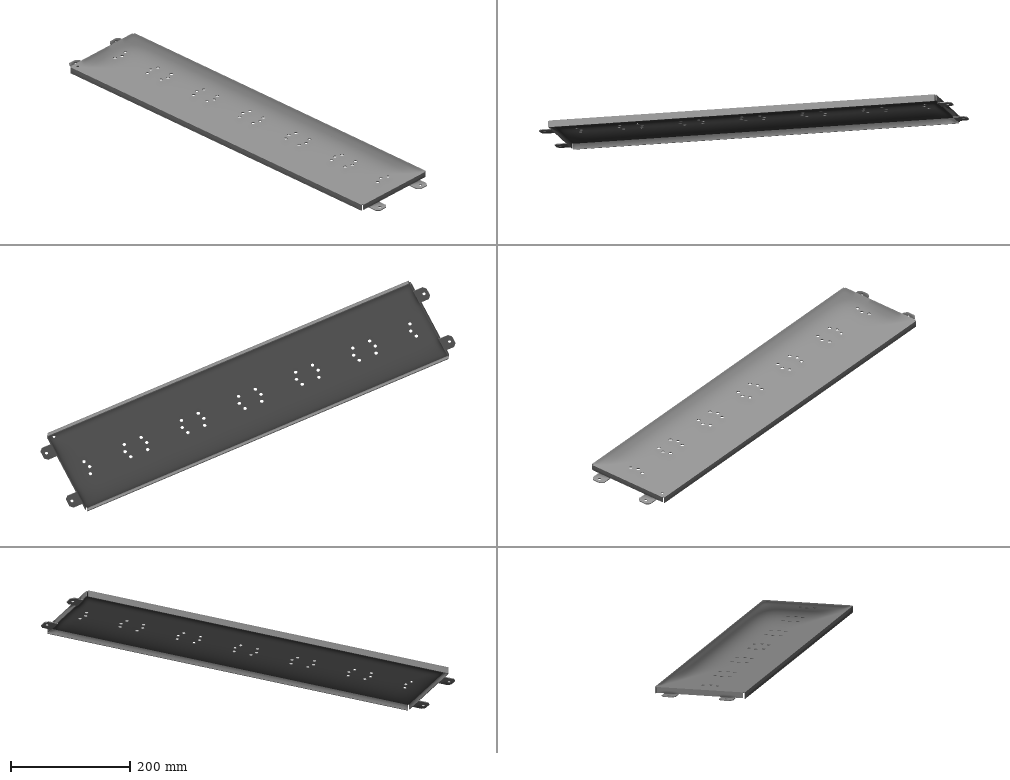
import cadquery as cq
import math

overall_length = 716.0
tray_width = 157.0
tray_height = 11.5
sheet = 1.5

tray_length = 674.5
notch_x = 2.3
notch_y = 3.2
end_wall_lift = sheet

tab_width = 24.0
tab_spacing = 99.5
tab_chamfer = 5.0
tab_hole_diameter = 5.3
tab_hole_inset = 8.0
tab_root_x = tray_length / 2 - sheet

circle_pitch = 106.0
circle_y = 8.5
circle_radius = 20.0
hole_angle = 39
hole_diameter = 6.0
full_circles = 5

corner_hole_diameter = 4.6
corner_hole_inset_x = 9.0
corner_hole_inset_y = 11.0


def make_tray():
    """Open-bottomed folded tray with notched corners and shortened end walls."""
    outer = cq.Workplane("XY").box(
        tray_length, tray_width, tray_height, centered=(True, True, False)
    )
    cavity = cq.Workplane("XY").box(
        tray_length - 2 * sheet,
        tray_width - 2 * sheet,
        tray_height - sheet,
        centered=(True, True, False),
    )
    end_relief = cq.Workplane("XY").box(
        tray_length, tray_width - 2 * sheet, end_wall_lift, centered=(True, True, False)
    )
    corner_notches = (
        cq.Workplane("XY")
        .rect(tray_length, tray_width, forConstruction=True)
        .vertices()
        .rect(2 * notch_x, 2 * notch_y)
        .extrude(tray_height)
    )
    return outer.cut(cavity).cut(end_relief).cut(corner_notches)


def make_tab(side, y):
    """Flat foot at one end, chamfered at its outer corners and drilled once."""
    length = overall_length / 2 - tab_root_x
    tab = (
        cq.Workplane("XY")
        .center(side * (tab_root_x + length / 2), y)
        .box(length, tab_width, sheet, centered=(True, True, False))
        .edges("|Z")
        .edges(">X" if side > 0 else "<X")
        .chamfer(tab_chamfer)
    )
    hole = (
        cq.Workplane("XY")
        .center(side * (overall_length / 2 - tab_hole_inset), y)
        .circle(tab_hole_diameter / 2)
        .extrude(sheet)
    )
    return tab.cut(hole)


def arc_points(center_x, side):
    """Three holes on the left (-1) or right (+1) of a bolt circle."""
    angles = [math.radians(a) for a in (-hole_angle, 0, hole_angle)]
    return [
        (center_x + side * circle_radius * math.cos(a), circle_y + circle_radius * math.sin(a))
        for a in angles
    ]


hole_points = []
first_center = -circle_pitch * (full_circles + 1) / 2
for gap in range(full_circles + 1):
    left_center = first_center + gap * circle_pitch
    hole_points += arc_points(left_center, 1)
    hole_points += arc_points(left_center + circle_pitch, -1)

result = make_tray()
for side in (-1, 1):
    for y in (-tab_spacing / 2, tab_spacing / 2):
        result = result.union(make_tab(side, y))

plate_holes = (
    cq.Workplane("XY").pushPoints(hole_points).circle(hole_diameter / 2).extrude(tray_height)
)
corner_hole = (
    cq.Workplane("XY")
    .center(corner_hole_inset_x - tray_length / 2, corner_hole_inset_y - tray_width / 2)
    .circle(corner_hole_diameter / 2)
    .extrude(tray_height)
)
result = result.cut(plate_holes).cut(corner_hole)